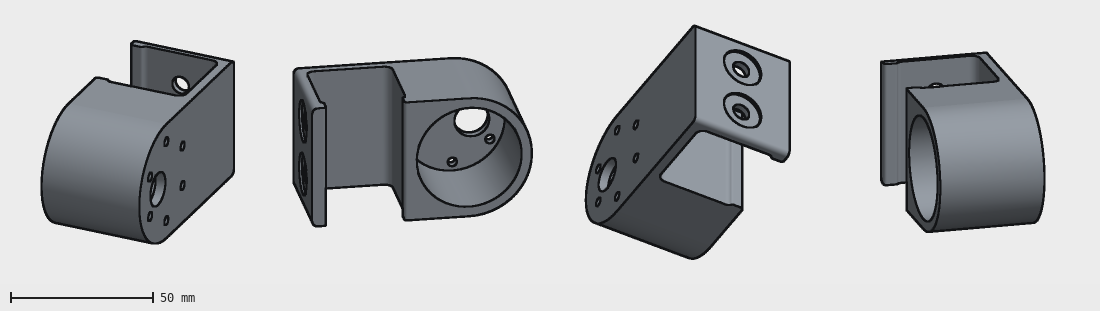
import cadquery as cq
import math

LENGTH = 38.0
HEIGHT = 44.8
BARREL_RADIUS = HEIGHT / 2
BACK_Y = 56.0
BACK_EDGE_RADIUS = 2.0

WALL_THICKNESS = 3.8
SLOT_WIDTH = 30.4
SLOT_CORNER_RADIUS = 3.0
SLOT_TOP_Y = BACK_Y - WALL_THICKNESS
SLOT_BOTTOM_Y = SLOT_TOP_Y - SLOT_WIDTH
SLOT_END_X = LENGTH - WALL_THICKNESS

LIP_HEIGHT = 1.2
LIP_LENGTH = 4.0
LIP_NOSE_RADIUS = 1.0

LIP_CREST_RADIUS = 1.0
LIP_FOOT_RADIUS = 2.0
LIP_RADIUS_SUM = LIP_CREST_RADIUS + LIP_FOOT_RADIUS
LIP_CURVE_RUN = math.sqrt(LIP_RADIUS_SUM**2 - (LIP_RADIUS_SUM - LIP_HEIGHT) ** 2)
LIP_CREST_SHARE = LIP_CREST_RADIUS / LIP_RADIUS_SUM

POCKET_DIAMETER = 37.4
FLOOR_THICKNESS = WALL_THICKNESS
SHAFT_HOLE_DIAMETER = 12.4
SHAFT_OFFSET_Y = -7.0
SCREW_HOLE_DIAMETER = 3.2
SCREW_CIRCLE_RADIUS = 15.5
SCREW_COUNT = 6
FIRST_SCREW_ANGLE = 90.0
FULL_TURN = 360.0

FLANGE_HOLE_DIAMETER = 6.4
FLANGE_HOLE_X = LENGTH / 2
FLANGE_HOLE_SPACING = 20.0
COUNTERBORE_DIAMETER = 15.0
COUNTERBORE_DEPTH = 1.0


def make_body():
    """Block with a half-round barrel end and rounded back edges."""
    outline = (
        cq.Workplane("YZ")
        .moveTo(0, -BARREL_RADIUS)
        .lineTo(BACK_Y, -BARREL_RADIUS)
        .lineTo(BACK_Y, BARREL_RADIUS)
        .lineTo(0, BARREL_RADIUS)
        .threePointArc((-BARREL_RADIUS, 0), (0, -BARREL_RADIUS))
        .close()
    )
    return outline.extrude(LENGTH).edges("|X and >Y").fillet(BACK_EDGE_RADIUS)


def vertical_edges_at(solid, x, y_values):
    """Select the Z-parallel edges that stand at (x, y) for each given y."""
    tolerance = 0.01
    return solid.edges("|Z").filter(
        lambda edge: abs(edge.Center().x - x) < tolerance
        and any(abs(edge.Center().y - y) < tolerance for y in y_values)
    )


def cut_slot(body):
    """Cut the slot with its S-curved lips, then round its corners and noses."""
    lip_top_y = SLOT_TOP_Y - LIP_HEIGHT
    lip_bottom_y = SLOT_BOTTOM_Y + LIP_HEIGHT
    crest_end_x = LIP_LENGTH + LIP_CURVE_RUN * LIP_CREST_SHARE
    curve_end_x = LIP_LENGTH + LIP_CURVE_RUN
    crest_drop = LIP_HEIGHT * LIP_CREST_SHARE
    slot = (
        cq.Workplane("XY")
        .workplane(offset=-HEIGHT / 2)
        .moveTo(0, lip_bottom_y)
        .lineTo(LIP_LENGTH, lip_bottom_y)
        .tangentArcPoint((crest_end_x, lip_bottom_y - crest_drop), relative=False)
        .tangentArcPoint((curve_end_x, SLOT_BOTTOM_Y), relative=False)
        .lineTo(SLOT_END_X, SLOT_BOTTOM_Y)
        .lineTo(SLOT_END_X, SLOT_TOP_Y)
        .lineTo(curve_end_x, SLOT_TOP_Y)
        .tangentArcPoint((crest_end_x, lip_top_y + crest_drop), relative=False)
        .tangentArcPoint((LIP_LENGTH, lip_top_y), relative=False)
        .lineTo(0, lip_top_y)
        .close()
        .extrude(HEIGHT)
    )
    body = body.cut(slot)
    slot_sides = (SLOT_BOTTOM_Y, SLOT_TOP_Y)
    body = vertical_edges_at(body, SLOT_END_X, slot_sides).fillet(SLOT_CORNER_RADIUS)
    return vertical_edges_at(body, 0, (lip_bottom_y, lip_top_y)).fillet(LIP_NOSE_RADIUS)


def cut_motor_mount(body):
    """Cut the motor pocket, the offset shaft hole and the screw circle."""
    pocket = cq.Workplane("YZ").circle(POCKET_DIAMETER / 2).extrude(LENGTH - FLOOR_THICKNESS)
    shaft_hole = (
        cq.Workplane("YZ")
        .center(SHAFT_OFFSET_Y, 0)
        .circle(SHAFT_HOLE_DIAMETER / 2)
        .extrude(LENGTH)
    )
    screw_holes = (
        cq.Workplane("YZ")
        .polarArray(SCREW_CIRCLE_RADIUS, FIRST_SCREW_ANGLE, FULL_TURN, SCREW_COUNT)
        .circle(SCREW_HOLE_DIAMETER / 2)
        .extrude(LENGTH)
    )
    return body.cut(pocket).cut(shaft_hole).cut(screw_holes)


def flange_cylinders(diameter, depth):
    """Pair of cylinders going into the back flange from its outer face."""
    return (
        cq.Workplane("XZ", origin=(0, BACK_Y, 0))
        .pushPoints([(FLANGE_HOLE_X, side * FLANGE_HOLE_SPACING / 2) for side in (-1, 1)])
        .circle(diameter / 2)
        .extrude(depth)
    )


def cut_flange_holes(body):
    """Drill the two flange holes, counterbored on the outer face."""
    holes = flange_cylinders(FLANGE_HOLE_DIAMETER, WALL_THICKNESS)
    counterbores = flange_cylinders(COUNTERBORE_DIAMETER, COUNTERBORE_DEPTH)
    return body.cut(holes).cut(counterbores)


result = cut_flange_holes(cut_motor_mount(cut_slot(make_body())))